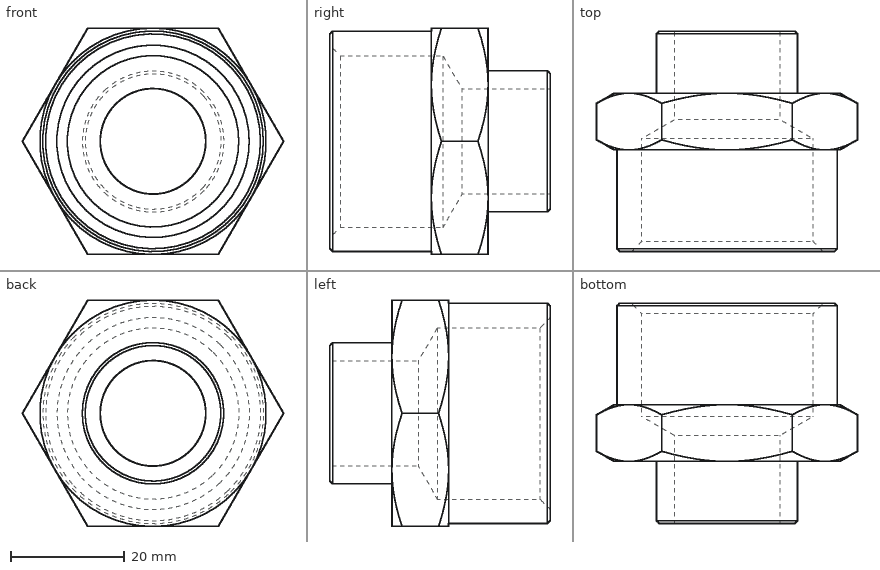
import cadquery as cq
import math

hex_corners = 46.2
hex_length = 10.02
large_diameter = 39.0
large_length = 17.95
small_diameter = 25.0
small_length = 11.0
end_chamfer = 0.5

bore_diameter = 30.3
bore_depth = 20.0
mouth_diameter = 34.0
mouth_depth = 1.85
through_diameter = 18.6
cone_length = 3.35

hex_flats = hex_corners * math.cos(math.radians(30))
hex_chamfer = (hex_corners - hex_flats) / 2 * math.tan(math.radians(30))
total_length = large_length + hex_length + small_length
large_end = 0.0
hex_start = large_end + large_length
hex_end = hex_start + hex_length
small_end = large_end + total_length


def revolve_profile(points):
    """Revolve a closed (radius, y) outline around the Y axis."""
    return cq.Workplane("XY").polyline(points).close().revolve(360, (0, 0, 0), (0, 1, 0))


def make_hexagon():
    """Hexagon with 30 degree turned chamfers on both faces."""
    prism = (
        cq.Workplane("XZ", origin=(0, hex_start, 0))
        .polygon(6, hex_corners)
        .extrude(-hex_length)
    )
    turned_envelope = revolve_profile([
        (0, hex_start),
        (hex_flats / 2, hex_start),
        (hex_corners / 2, hex_start + hex_chamfer),
        (hex_corners / 2, hex_end - hex_chamfer),
        (hex_flats / 2, hex_end),
        (0, hex_end),
    ])
    return prism.intersect(turned_envelope)


def make_spigots():
    """Large and small cylindrical ends, chamfered at their outer rims."""
    large_radius = large_diameter / 2
    small_radius = small_diameter / 2
    return revolve_profile([
        (0, large_end),
        (large_radius - end_chamfer, large_end),
        (large_radius, large_end + end_chamfer),
        (large_radius, hex_start),
        (small_radius, hex_start),
        (small_radius, small_end - end_chamfer),
        (small_radius - end_chamfer, small_end),
        (0, small_end),
    ])


def make_passage():
    """Flared bore that narrows through a cone to the through hole."""
    return revolve_profile([
        (0, large_end),
        (mouth_diameter / 2, large_end),
        (bore_diameter / 2, large_end + mouth_depth),
        (bore_diameter / 2, large_end + bore_depth),
        (through_diameter / 2, large_end + bore_depth + cone_length),
        (through_diameter / 2, small_end),
        (0, small_end),
    ])


result = make_spigots().union(make_hexagon()).cut(make_passage())